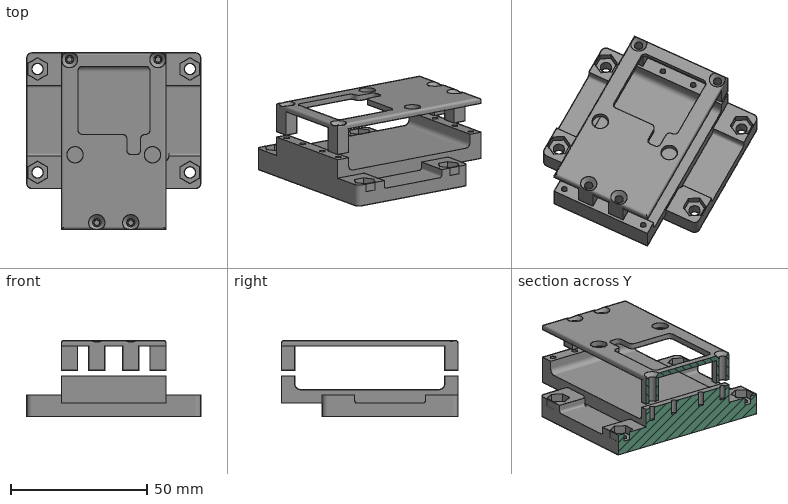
import cadquery as cq
import math

TRAY_WIDTH = 38.55
TRAY_LENGTH = 65.0
BACK_Y = TRAY_LENGTH / 2
LEFT_X = -TRAY_WIDTH / 2

BASE_WIDTH = 64.0
BASE_LENGTH = 50.0
BASE_HEIGHT = 8.0
BASE_CORNER_RADIUS = 2.0
BASE_CENTER_Y = BACK_Y - BASE_LENGTH / 2

SLOT_FLOOR_Z = 5.0
SLOT_LENGTH = 26.0
SLOT_BACK_OFFSET = 12.0
SLOT_FILLET = 1.0
SLOT_CENTER_Y = BACK_Y - SLOT_BACK_OFFSET - SLOT_LENGTH / 2

RELIEF_DIAMETER = 6.0
RELIEF_X = 17.35
RELIEF_Y = -5.0

MOUNT_HOLE_DIAMETER = 4.0
MOUNT_SPACING_X = 56.0
MOUNT_SPACING_Y = 38.0
NUT_ACROSS_FLATS = 7.15
NUT_POCKET_DEPTH = 3.0

TRAY_BOTTOM_Z = SLOT_FLOOR_Z
TRAY_FLOOR_Z = 10.0
TRAY_TOP_Z = 15.0
WALL_THICKNESS = 5.0
CHANNEL_FILLET = 2.0

POST_WIDTH = 6.0
OUTER_SCREW_X = (TRAY_WIDTH - POST_WIDTH) / 2
INNER_SCREW_X = 6.25
SCREW_Y = BACK_Y - WALL_THICKNESS / 2
PILOT_DIAMETER = 2.0
PILOT_DEPTH = TRAY_TOP_Z - TRAY_FLOOR_Z
CLEARANCE_DIAMETER = 3.0
COUNTERSINK_DIAMETER = 6.0
COUNTERSINK_ANGLE = 90.0

LID_TOP_Z = 28.0
LID_THICKNESS = 2.0
LID_BOTTOM_Z = LID_TOP_Z - LID_THICKNESS
LID_EDGE_FILLET = 1.0
POST_BOTTOM_Z = 17.0

WINDOW_WIDTH = 26.5
WINDOW_LENGTH = 25.0
WINDOW_LEFT_OFFSET = 6.1
WINDOW_LEFT_X = LEFT_X + WINDOW_LEFT_OFFSET
WINDOW_BACK_Y = BACK_Y - WALL_THICKNESS
WINDOW_RIGHT_X = WINDOW_LEFT_X + WINDOW_WIDTH
WINDOW_FRONT_Y = WINDOW_BACK_Y - WINDOW_LENGTH
WINDOW_RADIUS = 1.7
NOTCH_WIDTH = 5.0
NOTCH_LENGTH = 7.5
NOTCH_RIGHT_OFFSET = 3.5
NOTCH_RIGHT_X = WINDOW_RIGHT_X - NOTCH_RIGHT_OFFSET

LID_HOLE_DIAMETER = 6.0
LID_HOLE_X = 14.25
LID_HOLE_Y = -5.0


def block(width, length, bottom_z, top_z, center_y=0.0):
    """Box centred on X = 0 between two heights."""
    return (
        cq.Workplane("XY", origin=(0, center_y, bottom_z))
        .rect(width, length)
        .extrude(top_z - bottom_z)
    )


def cylinders(points, diameter, bottom_z, top_z):
    """Upright cylinders at the given XY points."""
    return (
        cq.Workplane("XY", origin=(0, 0, bottom_z))
        .pushPoints(points)
        .circle(diameter / 2)
        .extrude(top_z - bottom_z)
    )


def make_base():
    base = block(BASE_WIDTH, BASE_LENGTH, 0, BASE_HEIGHT, BASE_CENTER_Y)
    base = base.edges("|Z").fillet(BASE_CORNER_RADIUS)

    slot = block(BASE_WIDTH, SLOT_LENGTH, SLOT_FLOOR_Z, BASE_HEIGHT, SLOT_CENTER_Y)
    base = base.cut(slot.edges("|X and <Z").fillet(SLOT_FILLET))
    base = base.cut(cylinders([(RELIEF_X, RELIEF_Y)], RELIEF_DIAMETER, SLOT_FLOOR_Z, BASE_HEIGHT))

    mounts = [
        (x, BASE_CENTER_Y + y)
        for x in (-MOUNT_SPACING_X / 2, MOUNT_SPACING_X / 2)
        for y in (-MOUNT_SPACING_Y / 2, MOUNT_SPACING_Y / 2)
    ]
    base = base.cut(cylinders(mounts, MOUNT_HOLE_DIAMETER, 0, BASE_HEIGHT))
    for x, y in mounts:
        base = base.cut(make_nut_pocket().translate((x, y, BASE_HEIGHT - NUT_POCKET_DEPTH)))
    return base


def make_nut_pocket():
    """Hexagonal prism with two corners on the Y axis."""
    across_corners = NUT_ACROSS_FLATS * 2 / math.sqrt(3)
    hexagon = cq.Workplane("XY").polygon(6, across_corners).extrude(NUT_POCKET_DEPTH)
    return hexagon.rotate((0, 0, 0), (0, 0, 1), 90)


def make_tray():
    tray = block(TRAY_WIDTH, TRAY_LENGTH, TRAY_BOTTOM_Z, TRAY_TOP_Z)
    channel = block(TRAY_WIDTH, TRAY_LENGTH - 2 * WALL_THICKNESS, TRAY_FLOOR_Z, TRAY_TOP_Z)
    tray = tray.cut(channel.edges("|X and <Z").fillet(CHANNEL_FILLET))

    pilots = [
        (x, y)
        for x in (-OUTER_SCREW_X, -INNER_SCREW_X, INNER_SCREW_X, OUTER_SCREW_X)
        for y in (-SCREW_Y, SCREW_Y)
    ]
    return tray.cut(cylinders(pilots, PILOT_DIAMETER, TRAY_TOP_Z - PILOT_DEPTH, TRAY_TOP_Z))


def make_housing():
    return make_base().union(make_tray())


def make_window():
    window = cq.Workplane("XY", origin=(0, 0, LID_BOTTOM_Z)).polyline([
        (WINDOW_LEFT_X, WINDOW_BACK_Y),
        (WINDOW_RIGHT_X, WINDOW_BACK_Y),
        (WINDOW_RIGHT_X, WINDOW_FRONT_Y),
        (NOTCH_RIGHT_X, WINDOW_FRONT_Y),
        (NOTCH_RIGHT_X, WINDOW_FRONT_Y - NOTCH_LENGTH),
        (NOTCH_RIGHT_X - NOTCH_WIDTH, WINDOW_FRONT_Y - NOTCH_LENGTH),
        (NOTCH_RIGHT_X - NOTCH_WIDTH, WINDOW_FRONT_Y),
        (WINDOW_LEFT_X, WINDOW_FRONT_Y),
    ])
    return window.close().extrude(LID_THICKNESS).edges("|Z").fillet(WINDOW_RADIUS)


def make_lid():
    lid = block(TRAY_WIDTH, TRAY_LENGTH, LID_BOTTOM_Z, LID_TOP_Z)
    lid = lid.faces(">Z").edges().fillet(LID_EDGE_FILLET)
    lid = lid.cut(make_window())
    lid_holes = [(-LID_HOLE_X, LID_HOLE_Y), (LID_HOLE_X, LID_HOLE_Y)]
    lid = lid.cut(cylinders(lid_holes, LID_HOLE_DIAMETER, LID_BOTTOM_Z, LID_TOP_Z))

    screws = [
        (-OUTER_SCREW_X, SCREW_Y),
        (OUTER_SCREW_X, SCREW_Y),
        (-INNER_SCREW_X, -SCREW_Y),
        (INNER_SCREW_X, -SCREW_Y),
    ]
    posts = (
        cq.Workplane("XY", origin=(0, 0, POST_BOTTOM_Z))
        .pushPoints(screws)
        .rect(POST_WIDTH, WALL_THICKNESS)
        .extrude(LID_BOTTOM_Z - POST_BOTTOM_Z)
    )
    return (
        lid.union(posts)
        .copyWorkplane(cq.Workplane("XY", origin=(0, 0, LID_TOP_Z)))
        .pushPoints(screws)
        .cskHole(CLEARANCE_DIAMETER, COUNTERSINK_DIAMETER, COUNTERSINK_ANGLE)
    )


housing = make_housing()
lid = make_lid()
result = cq.Compound.makeCompound([housing.val(), lid.val()])